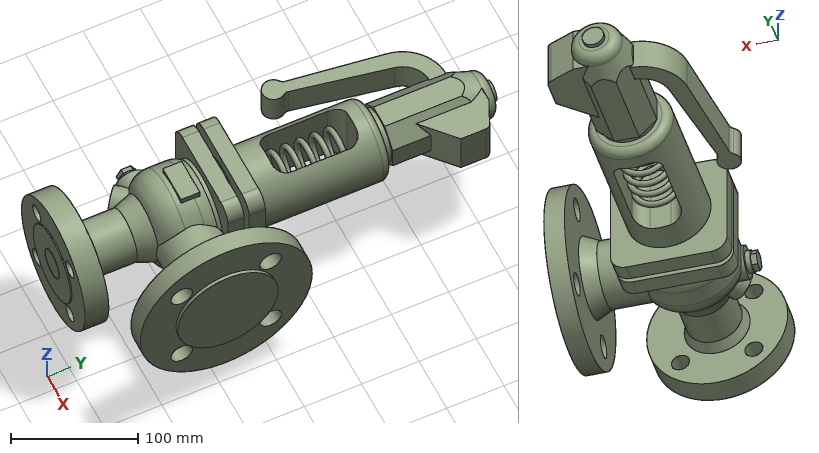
import cadquery as cq
import math


INLET_FLANGE_RADIUS = 57.5
INLET_FACE_HEIGHT = 1.0
INLET_FACE_RADIUS = 33.7
INLET_FLANGE_TOP = 22.0
INLET_BOLT_OFFSET = 30.0
INLET_BOLT_RADIUS = 7.3
INLET_BORE_RADIUS = 12.85
INLET_BORE_DEPTH = 0.5
INLET_PIPE_RADIUS = 23.0
INLET_FLARE_RADIUS = 27.0
INLET_FLARE_TOP = 31.0
INLET_PIPE_TOP = 63.3

BODY_RADIUS = 42.5
BODY_BOTTOM = 79.5
BODY_BOTTOM_RADIUS = 28.8
BODY_BELLY_LOW = 100.0
BODY_BELLY_HIGH = 116.2
BODY_SHOULDER = 127.0
BODY_NECK_RADIUS = 39.5

OUTLET_Y = 105.0
OUTLET_PIPE_RADIUS = 27.5
OUTLET_FLARE_START = 67.0
OUTLET_FLARE_RADIUS = 33.7
OUTLET_FLANGE_BACK = 80.0
OUTLET_FLANGE_FRONT = 97.0
OUTLET_FLANGE_RADIUS = 74.97
OUTLET_FACE_END = 100.0
OUTLET_FACE_RADIUS = 43.7
OUTLET_BOLT_OFFSET = 38.7
OUTLET_BOLT_RADIUS = 9.4

SQUARE_SIDE = 95.0
SQUARE_CORNER_RADIUS = 13.0
SQUARE_THICKNESS = 14.0
LOWER_SQUARE_BOTTOM = 130.5
UPPER_SQUARE_BOTTOM = 148.8
LOWER_RING_RADIUS = 41.5
UPPER_RING_RADIUS = 37.5

BONNET_RADIUS = 34.5
BONNET_TOP = 279.5
BONNET_FILLET = 7.3
WINDOW_WIDTH = 40.0
WINDOW_BOTTOM = 186.8
WINDOW_TOP = 261.0
WINDOW_CORNER_RADIUS = 11.5
COIL_COUNT = 5
COIL_PITCH = 12.5
COIL_RADIUS = 18.8
COIL_WIRE_RADIUS = 2.5
LOWEST_COIL_Y = 197.5

CAP_NECK_RADIUS = 23.0
CAP_BOTTOM = 285.0
CAP_SIDES = 8
CAP_ACROSS_FLATS = 49.5
CAP_CONE_BOTTOM = 352.0
CAP_CONE_TOP = 371.2
CAP_CONE_TOP_RADIUS = 20.7
CAP_TOP = 380.0
CAP_TOP_RADIUS = 12.3
TIP_TOP = 383.5
TIP_RADIUS = 9.0

LEVER_WIDTH = 26.5
LEVER_ROOT_X = -21.0
LEVER_BEND_Y = 315.5
LEVER_OUTER_RADIUS = 38.5
LEVER_INNER_RADIUS = 23.8
LEVER_OUTER_TILT = math.radians(7.4)
LEVER_INNER_TILT = math.radians(10.3)
LEVER_KNOB_X = -66.7
LEVER_KNOB_Y = 225.0
LEVER_KNOB_RADIUS = 9.5
LEVER_KNOB_FILLET = 5.8

CAM_WIDTH = 39.0
CAM_REACH = 43.7
CAM_TOP_X = 19.5
CAM_NOSE_LOW = 335.0
CAM_NOSE_HIGH = 360.5
CAM_NOSE_FILLET = 5.8
CAM_HEEL_X = 15.0
CAM_HEEL_Y = 309.5

DRAIN_Y = 90.0
DRAIN_BOSS_RADIUS = 13.8
DRAIN_BOSS_FACE = -44.0
DRAIN_WASHER_RADIUS = 9.2
DRAIN_WASHER_FACE = -48.5
DRAIN_HEAD_FACE = -53.3
DRAIN_HEAD_SIDES = 6
DRAIN_HEAD_DIAMETER = 17.0
SLANT_BOSS_RADIUS = 14.0
SLANT_BOSS_X = -32.5
SLANT_BOSS_Y = 67.5
SLANT_BOSS_LENGTH = 34.5
SLANT_ANGLE = math.radians(51.5)

PLATE_LENGTH = 33.0
PLATE_WIDTH = 16.5
PLATE_Y = 112.7
PLATE_TOP = 44.0
PLATE_DEPTH = 15.5


def cylinder_y(radius, bottom, top):
    """Solid cylinder on the spindle axis between two Y positions."""
    base = cq.Workplane("XZ", origin=(0, bottom, 0))
    return base.circle(radius).extrude(bottom - top)


def cylinder_x(radius, start, end, y):
    """Solid cylinder parallel to X at height y on the spindle axis."""
    base = cq.Workplane("YZ", origin=(start, y, 0))
    return base.circle(radius).extrude(end - start)


def box_between_z(outline, width):
    """Extrude an XY outline to a given width, centred on Z = 0."""
    return outline.extrude(width / 2, both=True)


def arc_from_vertical(start, end):
    """Middle point of the arc leaving start parallel to the spindle and passing end."""
    (x0, y0), (x1, y1) = start, end
    inward = x0 - x1
    radius = (inward**2 + (y1 - y0) ** 2) / (2 * inward)
    half_turn = math.atan2(inward, abs(y1 - y0))
    x_mid = x0 - radius * (1 - math.cos(half_turn))
    y_mid = y0 + math.copysign(radius * math.sin(half_turn), y1 - y0)
    return (x_mid, y_mid)


def make_body():
    belly_low = (BODY_RADIUS, BODY_BELLY_LOW)
    belly_high = (BODY_RADIUS, BODY_BELLY_HIGH)
    bowl_end = (BODY_BOTTOM_RADIUS, BODY_BOTTOM)
    shoulder = (BODY_NECK_RADIUS, BODY_SHOULDER)
    profile = (
        cq.Workplane("XY")
        .moveTo(0, 0)
        .lineTo(INLET_FACE_RADIUS, 0)
        .lineTo(INLET_FACE_RADIUS, INLET_FACE_HEIGHT)
        .lineTo(INLET_FLANGE_RADIUS, INLET_FACE_HEIGHT)
        .lineTo(INLET_FLANGE_RADIUS, INLET_FLANGE_TOP)
        .lineTo(INLET_FLARE_RADIUS, INLET_FLANGE_TOP)
        .lineTo(INLET_PIPE_RADIUS, INLET_FLARE_TOP)
        .lineTo(INLET_PIPE_RADIUS, INLET_PIPE_TOP)
        .lineTo(*bowl_end)
        .threePointArc(arc_from_vertical(belly_low, bowl_end), belly_low)
        .lineTo(*belly_high)
        .threePointArc(arc_from_vertical(belly_high, shoulder), shoulder)
        .lineTo(BODY_NECK_RADIUS, LOWER_SQUARE_BOTTOM)
        .lineTo(0, LOWER_SQUARE_BOTTOM)
        .close()
    )
    return profile.revolve(360, (0, 0, 0), (0, 1, 0))


def make_outlet():
    profile = (
        cq.Workplane("XY", origin=(0, OUTLET_Y, 0))
        .moveTo(0, 0)
        .lineTo(0, OUTLET_PIPE_RADIUS)
        .lineTo(OUTLET_FLARE_START, OUTLET_PIPE_RADIUS)
        .lineTo(OUTLET_FLANGE_BACK, OUTLET_FLARE_RADIUS)
        .lineTo(OUTLET_FLANGE_BACK, OUTLET_FLANGE_RADIUS)
        .lineTo(OUTLET_FLANGE_FRONT, OUTLET_FLANGE_RADIUS)
        .lineTo(OUTLET_FLANGE_FRONT, OUTLET_FACE_RADIUS)
        .lineTo(OUTLET_FACE_END, OUTLET_FACE_RADIUS)
        .lineTo(OUTLET_FACE_END, 0)
        .close()
    )
    return profile.revolve(360, (0, 0, 0), (1, 0, 0))


def make_bolt_holes():
    spacing = 2 * INLET_BOLT_OFFSET
    inlet = (
        cq.Workplane("XZ")
        .rarray(spacing, spacing, 2, 2)
        .circle(INLET_BOLT_RADIUS)
        .extrude(-INLET_FLANGE_TOP)
    )
    spacing = 2 * OUTLET_BOLT_OFFSET
    outlet = (
        cq.Workplane("YZ", origin=(OUTLET_FLANGE_BACK, OUTLET_Y, 0))
        .rarray(spacing, spacing, 2, 2)
        .circle(OUTLET_BOLT_RADIUS)
        .extrude(OUTLET_FACE_END - OUTLET_FLANGE_BACK)
    )
    return inlet.union(outlet)


def make_square_flange(bottom):
    return (
        cq.Workplane("XZ", origin=(0, bottom, 0))
        .rect(SQUARE_SIDE, SQUARE_SIDE)
        .extrude(-SQUARE_THICKNESS)
        .edges("|Y")
        .fillet(SQUARE_CORNER_RADIUS)
    )


def make_body_joint():
    gap_bottom = LOWER_SQUARE_BOTTOM + SQUARE_THICKNESS
    gap_middle = (gap_bottom + UPPER_SQUARE_BOTTOM) / 2
    lower_ring = cylinder_y(LOWER_RING_RADIUS, gap_bottom, gap_middle)
    upper_ring = cylinder_y(UPPER_RING_RADIUS, gap_middle, UPPER_SQUARE_BOTTOM)
    squares = make_square_flange(LOWER_SQUARE_BOTTOM).union(make_square_flange(UPPER_SQUARE_BOTTOM))
    return squares.union(lower_ring).union(upper_ring)


def make_bonnet():
    shell = cylinder_y(BONNET_RADIUS, UPPER_SQUARE_BOTTOM + SQUARE_THICKNESS, BONNET_TOP)
    shell = shell.faces(">Y").edges().fillet(BONNET_FILLET)
    window = (
        cq.Workplane("XY")
        .center(0, (WINDOW_BOTTOM + WINDOW_TOP) / 2)
        .rect(WINDOW_WIDTH, WINDOW_TOP - WINDOW_BOTTOM)
        .extrude(BONNET_RADIUS, both=True)
        .edges("|Z")
        .fillet(WINDOW_CORNER_RADIUS)
    )
    bonnet = shell.cut(window)
    for index in range(COIL_COUNT):
        coil_y = LOWEST_COIL_Y + index * COIL_PITCH
        coil = cq.Solid.makeTorus(
            COIL_RADIUS, COIL_WIRE_RADIUS, cq.Vector(0, coil_y, 0), cq.Vector(0, 1, 0)
        )
        bonnet = bonnet.union(cq.Workplane(coil))
    return bonnet


def make_cap():
    corner_radius = CAP_ACROSS_FLATS / 2 / math.cos(math.pi / CAP_SIDES)
    octagon = (
        cq.Workplane("XZ", origin=(0, CAP_BOTTOM, 0))
        .transformed(rotate=(0, 0, 180 / CAP_SIDES))
        .polygon(CAP_SIDES, 2 * corner_radius)
        .extrude(CAP_BOTTOM - CAP_TOP)
    )
    dome_start = (CAP_CONE_TOP_RADIUS, CAP_CONE_TOP)
    dome_end = (CAP_TOP_RADIUS, CAP_TOP)
    envelope = (
        cq.Workplane("XY")
        .moveTo(0, CAP_BOTTOM)
        .lineTo(corner_radius, CAP_BOTTOM)
        .lineTo(corner_radius, CAP_CONE_BOTTOM)
        .lineTo(*dome_start)
        .threePointArc(arc_from_vertical(dome_start, dome_end), dome_end)
        .lineTo(0, CAP_TOP)
        .close()
        .revolve(360, (0, 0, 0), (0, 1, 0))
    )
    neck = cylinder_y(CAP_NECK_RADIUS, BONNET_TOP, CAP_BOTTOM)
    tip = cylinder_y(TIP_RADIUS, CAP_TOP, TIP_TOP)
    return octagon.intersect(envelope).union(neck).union(tip)


def lever_bend_point(radius, tilt):
    """Point on a bend arc where the arm, leaning by tilt from the Y axis, is tangent."""
    return (
        LEVER_ROOT_X - radius * math.cos(tilt),
        LEVER_BEND_Y + radius * math.sin(tilt),
    )


def lever_arm_end(radius, tilt):
    """Point where the straight arm edge reaches the height of the knob centre."""
    x, y = lever_bend_point(radius, tilt)
    return (x - (y - LEVER_KNOB_Y) * math.tan(tilt), LEVER_KNOB_Y)


def make_lever():
    outer, inner = LEVER_OUTER_RADIUS, LEVER_INNER_RADIUS
    arm = (
        cq.Workplane("XY")
        .moveTo(LEVER_ROOT_X, LEVER_BEND_Y + outer)
        .threePointArc(
            lever_bend_point(outer, math.pi / 4),
            lever_bend_point(outer, LEVER_OUTER_TILT),
        )
        .lineTo(*lever_arm_end(outer, LEVER_OUTER_TILT))
        .lineTo(*lever_arm_end(inner, LEVER_INNER_TILT))
        .lineTo(*lever_bend_point(inner, LEVER_INNER_TILT))
        .threePointArc(
            lever_bend_point(inner, math.pi / 4),
            (LEVER_ROOT_X, LEVER_BEND_Y + inner),
        )
        .close()
    )
    knob = cq.Workplane("XY").center(LEVER_KNOB_X, LEVER_KNOB_Y).circle(LEVER_KNOB_RADIUS)
    lever = box_between_z(arm, LEVER_WIDTH).union(box_between_z(knob, LEVER_WIDTH))
    corner_zone = cq.selectors.BoxSelector(
        (LEVER_KNOB_X - LEVER_KNOB_RADIUS, LEVER_KNOB_Y + LEVER_KNOB_RADIUS / 2, -LEVER_WIDTH),
        (LEVER_KNOB_X + LEVER_KNOB_RADIUS, LEVER_KNOB_Y + LEVER_KNOB_RADIUS, LEVER_WIDTH),
    )
    return lever.edges("|Z").edges(corner_zone).fillet(LEVER_KNOB_FILLET)


def make_cam_housing():
    outline = (
        cq.Workplane("XY")
        .moveTo(0, CAP_CONE_TOP)
        .lineTo(CAM_TOP_X, CAP_CONE_TOP)
        .lineTo(CAM_REACH, CAM_NOSE_HIGH)
        .lineTo(CAM_REACH, CAM_NOSE_LOW)
        .lineTo(CAM_HEEL_X, CAM_HEEL_Y)
        .lineTo(0, CAM_HEEL_Y)
        .close()
    )
    nose_edge = cq.selectors.NearestToPointSelector((CAM_REACH, CAM_NOSE_HIGH, 0))
    return box_between_z(outline, CAM_WIDTH).edges(nose_edge).fillet(CAM_NOSE_FILLET)


def make_drain():
    boss = cylinder_x(DRAIN_BOSS_RADIUS, DRAIN_BOSS_FACE, 0, DRAIN_Y)
    washer = cylinder_x(DRAIN_WASHER_RADIUS, DRAIN_WASHER_FACE, DRAIN_BOSS_FACE, DRAIN_Y)
    head = (
        cq.Workplane("YZ", origin=(DRAIN_HEAD_FACE, DRAIN_Y, 0))
        .polygon(DRAIN_HEAD_SIDES, DRAIN_HEAD_DIAMETER)
        .extrude(DRAIN_WASHER_FACE - DRAIN_HEAD_FACE)
    )
    slant_boss = cq.Solid.makeCylinder(
        SLANT_BOSS_RADIUS,
        SLANT_BOSS_LENGTH,
        cq.Vector(SLANT_BOSS_X, SLANT_BOSS_Y, 0),
        cq.Vector(math.cos(SLANT_ANGLE), math.sin(SLANT_ANGLE), 0),
    )
    return boss.union(washer).union(head).union(cq.Workplane(slant_boss))


def make_name_plate():
    return (
        cq.Workplane("XY", origin=(0, PLATE_Y, PLATE_TOP))
        .rect(PLATE_LENGTH, PLATE_WIDTH)
        .extrude(-PLATE_DEPTH)
    )


valve = make_body()
for piece in (
    make_outlet(),
    make_body_joint(),
    make_bonnet(),
    make_cap(),
    make_lever(),
    make_cam_housing(),
    make_drain(),
    make_name_plate(),
):
    valve = valve.union(piece)

inlet_bore = cylinder_y(INLET_BORE_RADIUS, 0, INLET_BORE_DEPTH)
result = valve.cut(make_bolt_holes()).cut(inlet_bore)